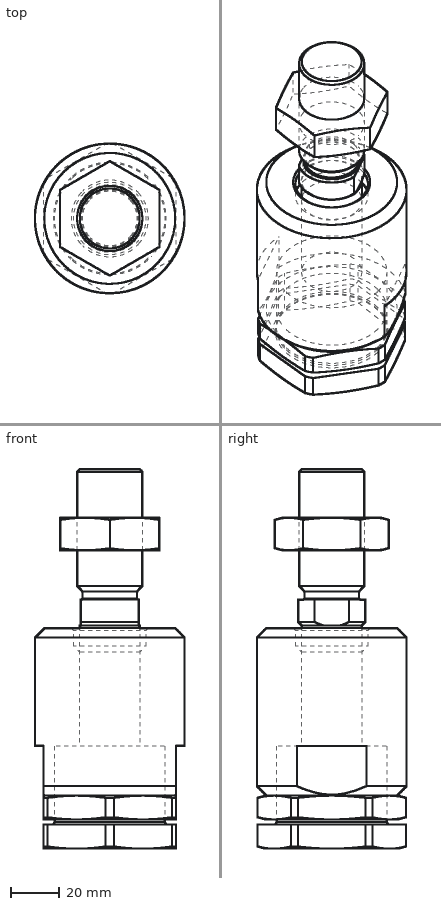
import cadquery as cq
import math


large_hex_width = 54.9
large_hex_corner_diameter = 61.5
plug_head_height = 10.0
lock_nut_gap = 2.0
lock_nut_height = 9.9
plug_thread_diameter = 45.7
plug_shoulder_diameter = 46.6
plug_shoulder_height = 1.0
plug_engagement = 20.4

housing_diameter = 62.0
housing_height = 69.2
housing_chamfer = 4.0
housing_flat_spacing = 54.9
housing_flat_height = 20.5
mouth_diameter = 30.0
mouth_depth = 7.4
mouth_chamfer = 1.0

total_height = 156.9
thread_diameter = 27.0
thread_chamfer = 1.1
thread_base = 108.5
neck_diameter = 22.6
neck_top = 106.2
neck_base_cone = 0.5
collar_diameter = 28.0
collar_flat_spacing = 24.0
collar_top = 103.0
collar_base = 92.3
shank_diameter = 25.0

stud_nut_width = 41.0
stud_nut_base = 123.3
stud_nut_height = 13.5

bevel_angle = 15.0
bevel_margin = 0.3

lock_nut_base = plug_head_height + lock_nut_gap
housing_base = lock_nut_base + lock_nut_height
housing_top = housing_base + housing_height
plug_top = housing_base + plug_engagement


def cylinder(diameter, bottom, top):
    """Solid cylinder on the Z axis."""
    return cq.Workplane("XY").workplane(offset=bottom).circle(diameter / 2).extrude(top - bottom)


def revolved(profile):
    """Solid of revolution about Z from (radius, height) points."""
    return cq.Workplane("XZ").polyline(profile).close().revolve(360, (0, 0, 0), (0, 1, 0))


def flat_cutters(spacing, bottom, top, reach):
    """Two blocks, one on each side in X, whose inner faces are the given spacing apart."""
    offset = (spacing + reach) / 2
    return (
        cq.Workplane("XY")
        .workplane(offset=bottom)
        .pushPoints([(-offset, 0), (offset, 0)])
        .rect(reach, 2 * reach)
        .extrude(top - bottom)
    )


def hexagon(width, corner_diameter, bottom, top, bevel_top):
    """Hexagonal prism with two corners on the Y axis, its corners rounded and bevelled.

    The bottom is always bevelled, the top only on request.
    """
    prism = (
        cq.Workplane("XY")
        .workplane(offset=bottom)
        .polygon(6, width, circumscribed=True)
        .extrude(top - bottom)
    )
    corner_radius = corner_diameter / 2
    bevel_radius = (width - bevel_margin) / 2
    drop = (corner_radius - bevel_radius) * math.tan(math.radians(bevel_angle))
    profile = [(0, bottom), (bevel_radius, bottom), (corner_radius, bottom + drop)]
    if bevel_top:
        profile += [(corner_radius, top - drop), (bevel_radius, top)]
    else:
        profile += [(corner_radius, top)]
    profile += [(0, top)]
    return prism.intersect(revolved(profile))


def make_plug():
    """Hexagon head with a tapered shoulder and a thread that reaches into the housing."""
    head = hexagon(large_hex_width, large_hex_corner_diameter, 0, plug_head_height, bevel_top=False)
    shoulder_radius = plug_shoulder_diameter / 2
    thread_radius = plug_thread_diameter / 2
    thread = revolved([
        (0, plug_head_height),
        (shoulder_radius, plug_head_height),
        (thread_radius, plug_head_height + plug_shoulder_height),
        (thread_radius, plug_top),
        (0, plug_top),
    ])
    return head.union(thread)


def make_lock_nut():
    """Large hexagon nut between the plug head and the housing."""
    nut = hexagon(large_hex_width, large_hex_corner_diameter, lock_nut_base, housing_base, bevel_top=True)
    return nut.cut(cylinder(plug_thread_diameter, lock_nut_base, housing_base))


def make_housing():
    """Chamfered cylinder with two wrench flats, a stepped mouth for the stud and a bore for the plug."""
    body = cylinder(housing_diameter, housing_base, housing_top)
    body = body.faces("<Z or >Z").chamfer(housing_chamfer)
    flat_top = housing_base + housing_flat_height
    body = body.cut(flat_cutters(housing_flat_spacing, housing_base, flat_top, housing_diameter))

    mouth_radius = mouth_diameter / 2
    shank_radius = shank_diameter / 2
    funnel_top = housing_top - mouth_depth
    funnel_base = funnel_top - (mouth_radius - shank_radius)
    mouth = revolved([
        (0, plug_top),
        (shank_radius, plug_top),
        (shank_radius, funnel_base),
        (mouth_radius, funnel_top),
        (mouth_radius, housing_top - mouth_chamfer),
        (mouth_radius + mouth_chamfer, housing_top),
        (0, housing_top),
    ])
    plug_bore = cylinder(plug_thread_diameter, housing_base, plug_top)
    return body.cut(mouth).cut(plug_bore)


def make_stud():
    """Threaded stud with a neck, a collar with two flats, and a shank that rests on the plug."""
    thread_radius = thread_diameter / 2
    neck_radius = neck_diameter / 2
    collar_radius = collar_diameter / 2
    shank_radius = shank_diameter / 2
    collar_chamfer = collar_radius - shank_radius
    stud = revolved([
        (0, plug_top),
        (shank_radius, plug_top),
        (shank_radius, collar_base),
        (collar_radius, collar_base + collar_chamfer),
        (collar_radius, collar_top),
        (neck_radius + neck_base_cone, collar_top),
        (neck_radius, collar_top + neck_base_cone),
        (neck_radius, neck_top),
        (thread_radius - thread_chamfer, thread_base - thread_chamfer),
        (thread_radius, thread_base),
        (thread_radius, total_height - thread_chamfer),
        (thread_radius - thread_chamfer, total_height),
        (0, total_height),
    ])
    return stud.cut(flat_cutters(collar_flat_spacing, collar_base, collar_top, collar_diameter))


def make_stud_nut():
    """Hexagon nut on the stud thread, bevelled on both faces."""
    top = stud_nut_base + stud_nut_height
    sharp_corner_diameter = stud_nut_width / math.cos(math.pi / 6)
    nut = hexagon(stud_nut_width, sharp_corner_diameter, stud_nut_base, top, bevel_top=True)
    return nut.cut(cylinder(thread_diameter, stud_nut_base, top))


plug = make_plug()
lock_nut = make_lock_nut()
housing = make_housing()
stud = make_stud()
stud_nut = make_stud_nut()

result = cq.Compound.makeCompound([
    plug.val(),
    lock_nut.val(),
    housing.val(),
    stud.val(),
    stud_nut.val(),
])